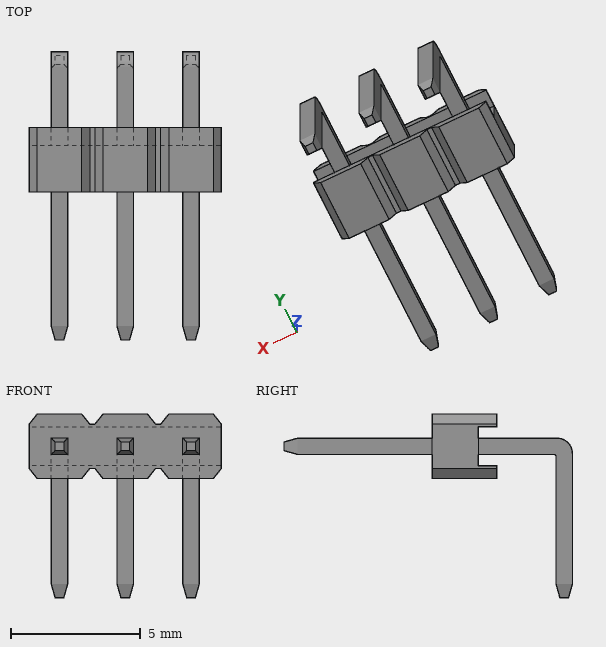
import cadquery as cq

PIN_COUNT = 3
PITCH = 2.54

CELL_WIDTH = 2.34
BODY_DEPTH = 2.5
BODY_HEIGHT = 2.5
CHAMFER_X = 0.31
CHAMFER_Z = 0.39
SLOT_DEPTH = 0.71
SLOT_HEIGHT = 1.5

PIN_WIDTH = 0.64
TIP_WIDTH = 0.34
TIP_LENGTH = 0.53
PIN_FRONT_REACH = 5.72
PIN_LENGTH_Y = 11.14
PIN_DROP = 5.85
BEND_OUTER_RADIUS = 0.6
BEND_INNER_RADIUS = 0.08

PIN_POSITIONS = [(i - (PIN_COUNT - 1) / 2) * PITCH for i in range(PIN_COUNT)]
BODY_LENGTH = (PIN_COUNT - 1) * PITCH + CELL_WIDTH
WAIST_HEIGHT = BODY_HEIGHT - 2 * CHAMFER_Z
PIN_FRONT_Y = -PIN_FRONT_REACH
PIN_BACK_Y = PIN_FRONT_Y + PIN_LENGTH_Y


def make_cell(x):
    """Octagonal housing cell around the pin at x."""
    half_width = CELL_WIDTH / 2
    half_height = BODY_HEIGHT / 2
    flat_x = half_width - CHAMFER_X
    flat_z = half_height - CHAMFER_Z
    outline = [
        (x - half_width, -flat_z),
        (x - flat_x, -half_height),
        (x + flat_x, -half_height),
        (x + half_width, -flat_z),
        (x + half_width, flat_z),
        (x + flat_x, half_height),
        (x - flat_x, half_height),
        (x - half_width, flat_z),
    ]
    return cq.Workplane("XZ").polyline(outline).close().extrude(-BODY_DEPTH)


def make_body():
    """Cells joined by a full-length core, with a slot across the back."""
    body = cq.Workplane("XY").box(BODY_LENGTH, BODY_DEPTH, WAIST_HEIGHT)
    body = body.translate((0, BODY_DEPTH / 2, 0))
    for x in PIN_POSITIONS:
        body = body.union(make_cell(x))
    slot = cq.Workplane("XY").box(BODY_LENGTH, SLOT_DEPTH, SLOT_HEIGHT)
    return body.cut(slot.translate((0, BODY_DEPTH - SLOT_DEPTH / 2, 0)))


def make_tip(plane):
    """Square taper that starts on the plane and narrows along its normal."""
    return (
        cq.Workplane(plane)
        .rect(PIN_WIDTH, PIN_WIDTH)
        .workplane(offset=TIP_LENGTH)
        .rect(TIP_WIDTH, TIP_WIDTH)
        .loft(ruled=True)
    )


def make_pin(x):
    """Bent square pin with a tapered tip on each leg."""
    half = PIN_WIDTH / 2
    straight_end_y = PIN_FRONT_Y + TIP_LENGTH
    bent_end_z = TIP_LENGTH - PIN_DROP
    inner_y = PIN_BACK_Y - PIN_WIDTH
    outline = [
        (straight_end_y, half),
        (PIN_BACK_Y, half),
        (PIN_BACK_Y, bent_end_z),
        (inner_y, bent_end_z),
        (inner_y, -half),
        (straight_end_y, -half),
    ]
    bar = cq.Workplane("YZ").polyline(outline).close().extrude(half, both=True)
    bar = bar.edges("|X and >Y and >Z").fillet(BEND_OUTER_RADIUS)
    inner_corner = cq.selectors.NearestToPointSelector((0, inner_y, -half))
    bar = bar.edges("|X").edges(inner_corner).fillet(BEND_INNER_RADIUS)

    straight_tip = make_tip(cq.Plane((0, straight_end_y, 0), xDir=(1, 0, 0), normal=(0, -1, 0)))
    bent_tip = make_tip(cq.Plane((0, PIN_BACK_Y - half, bent_end_z), xDir=(1, 0, 0), normal=(0, 0, -1)))
    return bar.union(straight_tip).union(bent_tip).translate((x, 0, 0))


result = make_body()
for pin_x in PIN_POSITIONS:
    result = result.union(make_pin(pin_x))